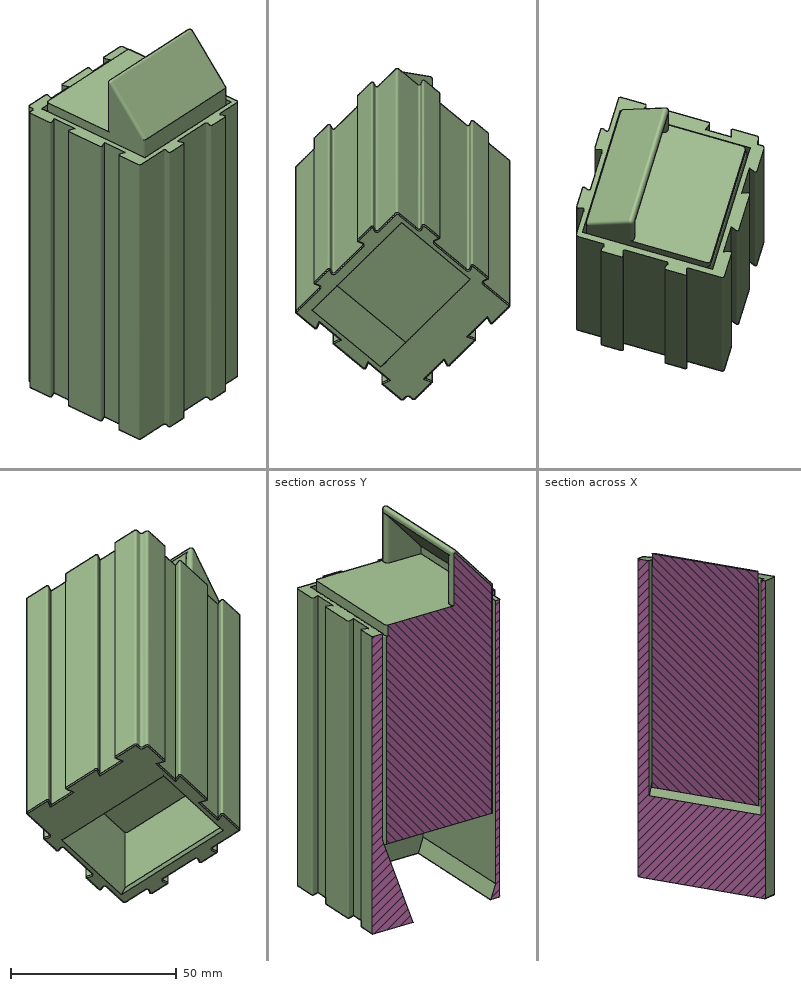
import cadquery as cq
import math

housing_height = 100.0
core_x = 44.2
core_y = 43.4
cavity_x = 41.1
cavity_y = 40.0
corner_fillet = 0.7
bottom_chamfer = 0.4

tongue_height = 2.4
tongue_neck = 5.5
tongue_tip = 7.4
joint_fillet = 0.5
flank_clearance = 0.42
depth_clearance = 0.05
joint_offset_x = 10.0
joint_offset_y = 9.7
groove_depth = tongue_height + depth_clearance

ramp_angle = math.radians(70)
left_ramp_run = 11.1
right_ramp_run = 1.8
ramp_slope = math.tan(ramp_angle)

total_height = 120.8
plate_top = 102.4
cap_left = -19.5
cap_right = 19.8
cap_y = 38.3
cap_fillet = 1.0
shoulder_width = 0.5
shoulder_fillet = 0.42
shoulder_depth = 1.2
plug_left = cap_left - shoulder_width
plug_bottom = (left_ramp_run - (plug_left + cavity_x / 2)) * ramp_slope
shoulder_top = housing_height - shoulder_depth

hood_front = 4.7
roof_angle = math.radians(48)
roof_thickness = 2.3
side_wall = 2.8
back_wall = 2.5
mouth_fillet = 1.3
roof_slope = math.tan(roof_angle)


def dovetail_bar(neck, tip, height):
    """Upright bar that widens toward +Y, on a thin root strip below Y = 0, with a flared neck."""
    root = 2 * joint_fillet
    strip = neck / 2 + root
    outline = [
        (-strip, -root), (strip, -root), (strip, 0), (neck / 2, 0),
        (tip / 2, height), (-tip / 2, height), (-neck / 2, 0), (-strip, 0),
    ]
    bar = cq.Workplane("XY").polyline(outline).close().extrude(housing_height)
    for side in (-1, 1):
        neck_edge = cq.selectors.NearestToPointSelector((side * neck / 2, 0, housing_height / 2))
        bar = bar.edges("|Z").edges(neck_edge).fillet(joint_fillet)
    return bar


def make_tongue():
    bar = dovetail_bar(tongue_neck, tongue_tip, tongue_height)
    return bar.faces(">Y").edges("|Z").fillet(joint_fillet)


def make_groove_cutter():
    widening = 2 * flank_clearance
    return dovetail_bar(tongue_neck + widening, tongue_tip + widening, groove_depth)


def on_y_side(bar, offset, face):
    return bar.translate((offset, face, 0))


def on_x_side(bar, offset, face):
    return bar.rotate((0, 0, 0), (0, 0, 1), -90).translate((face, offset, 0))


def make_ramp(wall_x, run):
    """Wedge across the cavity, from its wall at wall_x; a negative run slopes toward -X."""
    section = [(wall_x, 0), (wall_x + run, 0), (wall_x, abs(run) * ramp_slope)]
    return cq.Workplane("XZ").polyline(section).close().extrude(cavity_y / 2, both=True)


def make_housing():
    high_x = core_x / 2
    high_y = core_y / 2
    low_x = -high_x - groove_depth
    low_y = -high_y - groove_depth

    outline = [
        (low_x, -high_y), (-high_x, -high_y), (-high_x, low_y),
        (high_x, low_y), (high_x, high_y), (low_x, high_y),
    ]
    body = cq.Workplane("XY").polyline(outline).close().extrude(housing_height)
    body = body.edges("|Z").fillet(corner_fillet)

    tongue = make_tongue()
    cutter = make_groove_cutter()
    for side in (-1, 1):
        offset_x = side * joint_offset_x
        offset_y = side * joint_offset_y
        body = body.union(on_y_side(tongue, offset_x, high_y))
        body = body.union(on_x_side(tongue, offset_y, high_x))
        body = body.cut(on_y_side(cutter, offset_x, low_y))
        body = body.cut(on_x_side(cutter, offset_y, low_x))

    body = body.faces("<Z").edges().chamfer(bottom_chamfer)
    body = body.cut(cq.Workplane("XY").rect(cavity_x, cavity_y).extrude(housing_height))
    body = body.union(make_ramp(-cavity_x / 2, left_ramp_run))
    return body.union(make_ramp(cavity_x / 2, -right_ramp_run))


def upright_block(left, bottom, top):
    """Block of the cap's width from x = left to the cap's +X end."""
    length = cap_right - left
    block = cq.Workplane("XY").box(length, cap_y, top - bottom, centered=(False, True, False))
    return block.translate((left, 0, bottom)).edges("|Z").fillet(cap_fillet)


def roof_height(x, inset=0.0):
    """Height at x of the roof's outer plane, or of a plane inset below it."""
    crest_x = hood_front + cap_fillet
    crest_z = total_height - cap_fillet
    return crest_z + (cap_fillet - inset) / math.cos(roof_angle) - roof_slope * (x - crest_x)


def hood_prism(front, back, inset, width):
    """Prism under the roof plane, from the plate top upward."""
    section = [
        (front, plate_top), (back, plate_top),
        (back, roof_height(back, inset)), (front, roof_height(front, inset)),
    ]
    return cq.Workplane("XZ").polyline(section).close().extrude(width / 2, both=True)


def make_hood():
    shell = hood_prism(hood_front, cap_right, 0.0, cap_y)
    rim = shell.edges("not(<Z or (|Y and >X))")
    shell = rim.fillet(cap_fillet)

    room_width = cap_y - 2 * side_wall
    shell = shell.cut(hood_prism(hood_front, cap_right - back_wall, roof_thickness, room_width))
    for side in (-1, 1):
        middle = (hood_front, side * room_width / 2, (plate_top + total_height) / 2)
        mouth_edge = cq.selectors.NearestToPointSelector(middle)
        shell = shell.edges("|Z").edges(mouth_edge).fillet(mouth_fillet)
    return shell


def make_cap():
    plug = upright_block(plug_left, plug_bottom, shoulder_top)
    plug = plug.faces(">Z").edges("<X").fillet(shoulder_fillet)
    plate = upright_block(cap_left, plug_bottom, plate_top)
    return plug.union(plate).union(make_hood())


housing = make_housing()
cap = make_cap()
result = cq.Compound.makeCompound([housing.val(), cap.val()])